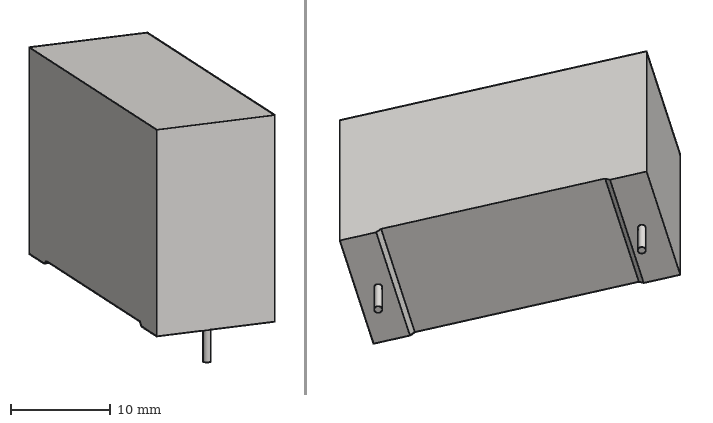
import cadquery as cq

length = 32.0
width = 13.0
total_height = 25.7

wire_diameter = 0.8
lead_pitch = 27.5
lead_protrusion = 4.0

foot_length = 3.8
recess_height = 0.4
ramp_run = 0.5

housing_height = total_height - lead_protrusion

bridge_height = recess_height + 1.5 * wire_diameter


def make_lead_wire():
    """One U-shaped round wire: two legs and the bridge between them."""
    leg_x = lead_pitch / 2
    path = cq.Workplane("XZ").polyline([
        (-leg_x, -lead_protrusion),
        (-leg_x, bridge_height),
        (leg_x, bridge_height),
        (leg_x, -lead_protrusion),
    ])
    leg_tip = cq.Workplane("XY", origin=(-leg_x, 0, -lead_protrusion))
    return leg_tip.circle(wire_diameter / 2).sweep(path, transition="round")


def make_housing(lead_wire):
    """Block with a shallow recess underneath and a channel that fits the lead wire."""
    half_length = length / 2
    ramp_start = half_length - foot_length
    ramp_end = ramp_start - ramp_run
    block = (
        cq.Workplane("XZ")
        .polyline([
            (-half_length, 0),
            (-ramp_start, 0),
            (-ramp_end, recess_height),
            (ramp_end, recess_height),
            (ramp_start, 0),
            (half_length, 0),
            (half_length, housing_height),
            (-half_length, housing_height),
        ])
        .close()
        .extrude(width / 2, both=True)
    )
    return block.cut(lead_wire).solids()


lead_wire = make_lead_wire()
housing = make_housing(lead_wire)

result = cq.Compound.makeCompound([housing.val(), lead_wire.val()])